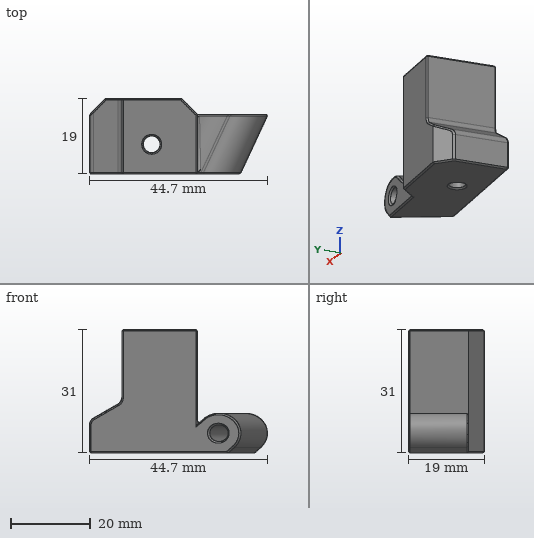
import cadquery as cq
import math

BLOCK_LENGTH = 27.1
BLOCK_DEPTH = 19.0
BLOCK_HEIGHT = 31.0
TOWER_WIDTH = 19.0
FOOT_END_HEIGHT = 8.2
FOOT_SLOPE = math.radians(30)
SLOPE_FILLET = 2.0
CORNER_CUT = 4.0

LUG_RADIUS = 5.0
LUG_DEPTH = BLOCK_DEPTH - CORNER_CUT
LUG_SLANT = math.radians(25)
LUG_FRONT_X = 32.33
FLANK_ANGLE = math.radians(45)
FLANK_RADIUS = 10.0
LUG_ROOT = 12.0
NOTCH_FILLET = 0.5

HOLE_DIAMETER = 4.2
TOWER_HOLE_X = 15.6
TOWER_HOLE_Y = 7.5

EDGE_CHAMFER = 0.4
OVERRUN = 10.0
REACH = 0.1

TOWER_X = BLOCK_LENGTH - TOWER_WIDTH
LUG_STOCK = LUG_DEPTH / math.cos(LUG_SLANT) + 2 * OVERRUN
SLOPE_TOP = FOOT_END_HEIGHT + TOWER_X * math.tan(FOOT_SLOPE)


def near(x, y):
    """Selector for edges centered on the upright line through (x, y)."""
    low = (x - REACH, y - REACH, -REACH)
    high = (x + REACH, y + REACH, BLOCK_HEIGHT + REACH)
    return cq.selectors.BoxSelector(low, high)


def make_block_body():
    outline = [
        (0, 0),
        (BLOCK_LENGTH, 0),
        (BLOCK_LENGTH, BLOCK_HEIGHT),
        (TOWER_X, BLOCK_HEIGHT),
        (TOWER_X, SLOPE_TOP),
        (0, FOOT_END_HEIGHT),
    ]
    body = cq.Workplane("XZ").polyline(outline).close().extrude(-BLOCK_DEPTH)
    slope_ends = cq.selectors.BoxSelector(
        (-REACH, 0, FOOT_END_HEIGHT - REACH), (TOWER_X + REACH, BLOCK_DEPTH, SLOPE_TOP + REACH)
    )
    return body.edges("|Y").edges(slope_ends).fillet(SLOPE_FILLET)


def cut_back_corners(body):
    for x, inward in ((0, 1), (BLOCK_LENGTH, -1)):
        corner = (
            cq.Workplane("XY")
            .moveTo(x, BLOCK_DEPTH)
            .lineTo(x + inward * CORNER_CUT, BLOCK_DEPTH)
            .lineTo(x, BLOCK_DEPTH - CORNER_CUT)
            .close()
            .extrude(BLOCK_HEIGHT)
        )
        body = body.cut(corner)
    return body


def chamfer_block(body):
    """Chamfer the outer edges, but not the edges across the slope or three corner cut edges."""
    outer = cq.selectors.StringSyntaxSelector("(not |Y) or >Z or <Z")
    plain_corners = (
        (CORNER_CUT, BLOCK_DEPTH),
        (BLOCK_LENGTH - CORNER_CUT, BLOCK_DEPTH),
        (BLOCK_LENGTH, BLOCK_DEPTH - CORNER_CUT),
    )
    for x, y in plain_corners:
        outer = outer - near(x, y)
    return body.edges(outer).chamfer(EDGE_CHAMFER)


def cut_tower_hole(body):
    hole = (
        cq.Workplane("XY")
        .center(TOWER_HOLE_X, TOWER_HOLE_Y)
        .circle(HOLE_DIAMETER / 2)
        .extrude(BLOCK_HEIGHT)
    )
    return body.cut(hole).faces("<Z or >Z").edges("%CIRCLE").chamfer(EDGE_CHAMFER)


def lug_section():
    """Sketch plane square to the lug axis, ahead of the front face."""
    across = (math.cos(LUG_SLANT), -math.sin(LUG_SLANT), 0)
    toward_front = (-math.sin(LUG_SLANT), -math.cos(LUG_SLANT), 0)
    plane = cq.Plane((LUG_FRONT_X, 0, LUG_RADIUS), across, toward_front)
    return cq.Workplane(plane).workplane(offset=OVERRUN)


def make_lug():
    section = lug_section()

    tangent_x = LUG_RADIUS * math.sin(FLANK_ANGLE)
    tangent_y = LUG_RADIUS * math.cos(FLANK_ANGLE)
    toe_x = tangent_x - (LUG_RADIUS - tangent_y) / math.tan(FLANK_ANGLE)

    flank_foot_x = -LUG_RADIUS / math.sin(FLANK_ANGLE)
    hollow_center_x = flank_foot_x - FLANK_RADIUS * math.tan(FLANK_ANGLE / 2)

    def hollow_point(angle):
        x = hollow_center_x + FLANK_RADIUS * math.sin(angle)
        return (x, FLANK_RADIUS * (1 - math.cos(angle)))

    bar = (
        section.moveTo(-LUG_ROOT, -LUG_RADIUS)
        .lineTo(toe_x, -LUG_RADIUS)
        .lineTo(tangent_x, -tangent_y)
        .threePointArc((0, LUG_RADIUS), (-tangent_x, tangent_y))
        .lineTo(*hollow_point(FLANK_ANGLE))
        .threePointArc(hollow_point(FLANK_ANGLE / 2), hollow_point(0))
        .lineTo(-LUG_ROOT, 0)
        .close()
        .extrude(-LUG_STOCK)
    )
    slab = cq.Workplane("XY").box(2 * BLOCK_LENGTH, LUG_DEPTH, BLOCK_HEIGHT, centered=False)
    return bar.intersect(slab)


def finish_lug(lug):
    """Cut the slanted hole and chamfer the front and back outlines together with its mouths."""
    hole = lug_section().circle(HOLE_DIAMETER / 2).extrude(-LUG_STOCK)
    return lug.cut(hole).faces("<Y or >Y").edges().chamfer(EDGE_CHAMFER)


def round_notch(part):
    """Fillet the curved edge where the lug flank meets the tower wall."""
    notch = cq.selectors.BoxSelector(
        (BLOCK_LENGTH - REACH, LUG_DEPTH / 4, LUG_RADIUS),
        (BLOCK_LENGTH + REACH, LUG_DEPTH * 3 / 4, 2 * LUG_RADIUS),
    )
    return part.edges(notch).fillet(NOTCH_FILLET)


block = cut_back_corners(make_block_body())
block = cut_tower_hole(chamfer_block(block))
lug = finish_lug(make_lug())
result = round_notch(block.union(lug))